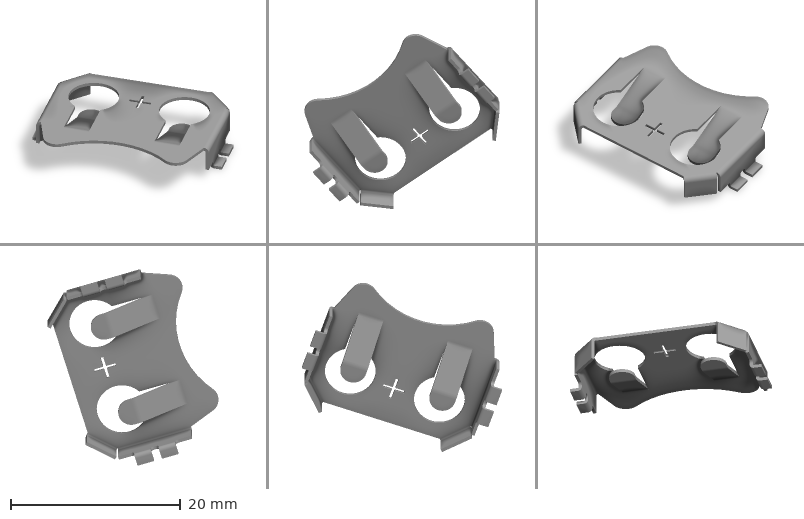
import cadquery as cq
import math


overall_width = 23.25
overall_depth = 16.4
overall_height = 4.0

sheet = 0.4
bend_inner_radius = 0.2
bend_outer_radius = bend_inner_radius + sheet
flange_height = 3.0
side_flange_length = 9.02

plate_half_width = 10.0
corner_cut_x = 2.75
corner_cut_y = 2.81
corner_cut_length = math.hypot(corner_cut_x, corner_cut_y)
rear_y = overall_depth - bend_outer_radius * corner_cut_x / corner_cut_length
flange_rear_y = rear_y - corner_cut_y
flange_front_y = flange_rear_y - side_flange_length
tip_x = 7.3
tip_radius = 1.6
notch_depth = 2.46

window_x = 5.55
window_y = 11.25
window_diameter = 6.0
tongue_width = 3.1
tongue_hinge_y = 3.7
tongue_end_y = 11.67
tongue_drop = 2.07
tongue_angle = math.radians(20.3)
hinge_outer_radius = 1.2
toe_inner_radius = 1.0

plus_y = 11.67
plus_size = 2.65
plus_stroke = 0.35

foot_width = 2.05
foot_pitch = 3.0
foot_bend_inner_radius = 0.1
foot_bend_outer_radius = foot_bend_inner_radius + sheet
foot_root_fillet = 0.4


def polar(centre, radius, angle):
    """Point on a circle, as a pair of coordinates in the plane of the outline."""
    return (centre[0] + radius * math.cos(angle), centre[1] + radius * math.sin(angle))


def make_plate():
    """Flat sheet with cut rear corners, rounded front tips and a concave front edge."""
    tip_centre = (tip_x, tip_radius)

    to_corner_x = plate_half_width - tip_x
    to_corner_y = flange_front_y - tip_radius
    corner_distance = math.hypot(to_corner_x, to_corner_y)
    side_angle = math.atan2(to_corner_y, to_corner_x) - math.acos(tip_radius / corner_distance)

    notch_radius = (tip_x**2 + notch_depth**2) / (2 * notch_depth) - tip_radius
    notch_centre_y = notch_depth - notch_radius
    notch_angle = math.atan2(notch_centre_y - tip_radius, -tip_x)

    side_x, side_y = polar(tip_centre, tip_radius, side_angle)
    low_x, low_y = polar(tip_centre, tip_radius, -math.pi / 2)
    notch_x, notch_y = polar(tip_centre, tip_radius, notch_angle)

    rear_half_width = plate_half_width - corner_cut_x
    return (
        cq.Workplane("XY")
        .moveTo(-rear_half_width, rear_y)
        .lineTo(rear_half_width, rear_y)
        .lineTo(plate_half_width, flange_rear_y)
        .lineTo(plate_half_width, flange_front_y)
        .lineTo(side_x, side_y)
        .threePointArc((low_x, low_y), (notch_x, notch_y))
        .threePointArc((0, notch_depth), (-notch_x, notch_y))
        .threePointArc((-low_x, low_y), (-side_x, side_y))
        .lineTo(-plate_half_width, flange_front_y)
        .lineTo(-plate_half_width, flange_rear_y)
        .close()
        .extrude(-sheet)
    )


def make_cutouts():
    """Round windows, the slots running forward from them, and the plus mark."""
    slot_length = window_y - tongue_hinge_y
    slot_y = tongue_hinge_y + slot_length / 2
    window_centres = [(-window_x, window_y), (window_x, window_y)]
    slot_centres = [(-window_x, slot_y), (window_x, slot_y)]
    plane = cq.Workplane("XY")
    windows = plane.pushPoints(window_centres).circle(window_diameter / 2).extrude(-sheet)
    slots = plane.pushPoints(slot_centres).rect(tongue_width, slot_length).extrude(-sheet)
    upright = plane.center(0, plus_y).rect(plus_stroke, plus_size).extrude(-sheet)
    crossbar = plane.center(0, plus_y).rect(plus_size, plus_stroke).extrude(-sheet)
    return windows.union(slots).union(upright).union(crossbar)


def make_tongue(x):
    """Spring tongue: bends down at the hinge, slopes rearward and levels out at the toe."""
    hinge_inner_radius = hinge_outer_radius - sheet
    toe_outer_radius = toe_inner_radius + sheet
    bends_drop = (hinge_outer_radius + toe_inner_radius) * (1 - math.cos(tongue_angle))
    slope_run = (tongue_drop - bends_drop) / math.tan(tongue_angle)
    bends_run = (hinge_outer_radius + toe_inner_radius) * math.sin(tongue_angle)
    hinge = (tongue_hinge_y, -hinge_outer_radius)
    toe = (tongue_hinge_y + bends_run + slope_run, toe_inner_radius - tongue_drop)

    hinge_start, hinge_end = math.pi / 2, math.pi / 2 - tongue_angle
    toe_start, toe_end = -math.pi / 2 - tongue_angle, -math.pi / 2
    hinge_middle = (hinge_start + hinge_end) / 2
    toe_middle = (toe_start + toe_end) / 2

    strip = (
        cq.Workplane("YZ")
        .moveTo(*polar(hinge, hinge_outer_radius, hinge_start))
        .threePointArc(
            polar(hinge, hinge_outer_radius, hinge_middle), polar(hinge, hinge_outer_radius, hinge_end)
        )
        .lineTo(*polar(toe, toe_inner_radius, toe_start))
        .threePointArc(polar(toe, toe_inner_radius, toe_middle), polar(toe, toe_inner_radius, toe_end))
        .lineTo(tongue_end_y, -tongue_drop)
        .lineTo(tongue_end_y, -tongue_drop - sheet)
        .lineTo(*polar(toe, toe_outer_radius, toe_end))
        .threePointArc(polar(toe, toe_outer_radius, toe_middle), polar(toe, toe_outer_radius, toe_start))
        .lineTo(*polar(hinge, hinge_inner_radius, hinge_end))
        .threePointArc(
            polar(hinge, hinge_inner_radius, hinge_middle), polar(hinge, hinge_inner_radius, hinge_start)
        )
        .close()
        .extrude(tongue_width / 2, both=True)
    )

    half_width = tongue_width / 2
    round_start_y = tongue_end_y - half_width
    plan = (
        cq.Workplane("XY")
        .moveTo(-half_width, tongue_hinge_y)
        .lineTo(half_width, tongue_hinge_y)
        .lineTo(half_width, round_start_y)
        .threePointArc((0, tongue_end_y), (-half_width, round_start_y))
        .close()
        .extrude(-overall_height)
    )
    return strip.intersect(plan).translate((x, 0, 0))


def make_flange(length):
    """Edge bent down from the origin toward +X, running from y = 0 to y = length."""
    bend_centre = (0, -bend_outer_radius)
    return (
        cq.Workplane("XZ")
        .moveTo(0, 0)
        .threePointArc(
            polar(bend_centre, bend_outer_radius, math.pi / 4), (bend_outer_radius, -bend_outer_radius)
        )
        .lineTo(bend_outer_radius, -flange_height)
        .lineTo(bend_inner_radius, -flange_height)
        .lineTo(bend_inner_radius, -bend_outer_radius)
        .threePointArc(polar(bend_centre, bend_inner_radius, math.pi / 4), (0, -sheet))
        .close()
        .extrude(-length)
    )


def make_foot(y):
    """Leg with flared root below the right flange, bent outward into a flat foot."""
    wall_inner_x = plate_half_width + bend_inner_radius
    wall_outer_x = wall_inner_x + sheet
    bend_centre = (
        wall_outer_x + foot_bend_inner_radius,
        -overall_height + foot_bend_outer_radius,
    )
    bend_x, bend_z = bend_centre
    bend_middle = -3 * math.pi / 4
    half_width = foot_width / 2

    foot = (
        cq.Workplane("XZ")
        .moveTo(wall_inner_x, -flange_height)
        .lineTo(wall_inner_x, bend_z)
        .threePointArc(polar(bend_centre, foot_bend_outer_radius, bend_middle), (bend_x, -overall_height))
        .lineTo(overall_width / 2, -overall_height)
        .lineTo(overall_width / 2, -overall_height + sheet)
        .lineTo(bend_x, -overall_height + sheet)
        .threePointArc(polar(bend_centre, foot_bend_inner_radius, bend_middle), (wall_outer_x, bend_z))
        .lineTo(wall_outer_x, -flange_height)
        .close()
        .extrude(half_width, both=True)
    )

    root_half_width = half_width + foot_root_fillet
    root_bottom = -flange_height - foot_root_fillet
    right_arc_middle = polar((root_half_width, root_bottom), foot_root_fillet, 3 * math.pi / 4)
    left_arc_middle = (-right_arc_middle[0], right_arc_middle[1])
    root = (
        cq.Workplane("YZ", origin=(wall_inner_x, 0, 0))
        .moveTo(-root_half_width, -flange_height)
        .lineTo(root_half_width, -flange_height)
        .threePointArc(right_arc_middle, (half_width, root_bottom))
        .lineTo(-half_width, root_bottom)
        .threePointArc(left_arc_middle, (-root_half_width, -flange_height))
        .close()
        .extrude(sheet)
    )
    return foot.union(root).translate((0, y, 0))


def make_right_side():
    """Side flange with its two feet, and the flange on the cut rear corner."""
    side = make_flange(side_flange_length).translate((plate_half_width, flange_front_y, 0))
    corner_turn = math.degrees(math.atan2(corner_cut_x, corner_cut_y))
    corner = (
        make_flange(corner_cut_length)
        .rotate((0, 0, 0), (0, 0, 1), corner_turn)
        .translate((plate_half_width, flange_rear_y, 0))
    )
    flange_middle_y = (flange_front_y + flange_rear_y) / 2
    for offset in (-foot_pitch / 2, foot_pitch / 2):
        side = side.union(make_foot(flange_middle_y + offset))
    return side.union(corner)


right_side = make_right_side()
result = make_plate().cut(make_cutouts())
for tongue_x in (-window_x, window_x):
    result = result.union(make_tongue(tongue_x))
result = result.union(right_side).union(right_side.mirror("YZ"))